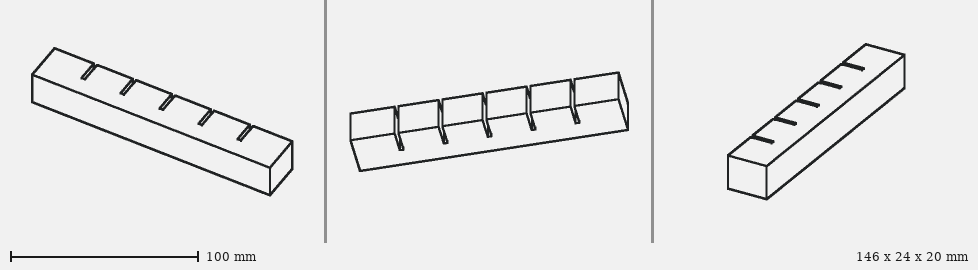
import cadquery as cq

length = 146.0
width = 24.0
height = 20.0

slot_count = 5
slot_width = 2.0
slot_depth = 13.0
slot_pitch = 24.0

bar = cq.Workplane("XY").box(length, width, height)

slot_center_y = (width - slot_depth) / 2
slots = (
    cq.Workplane("XY")
    .center(0, slot_center_y)
    .rarray(slot_pitch, slot_depth, slot_count, 1)
    .rect(slot_width, slot_depth)
    .extrude(height, both=True)
)

result = bar.cut(slots)